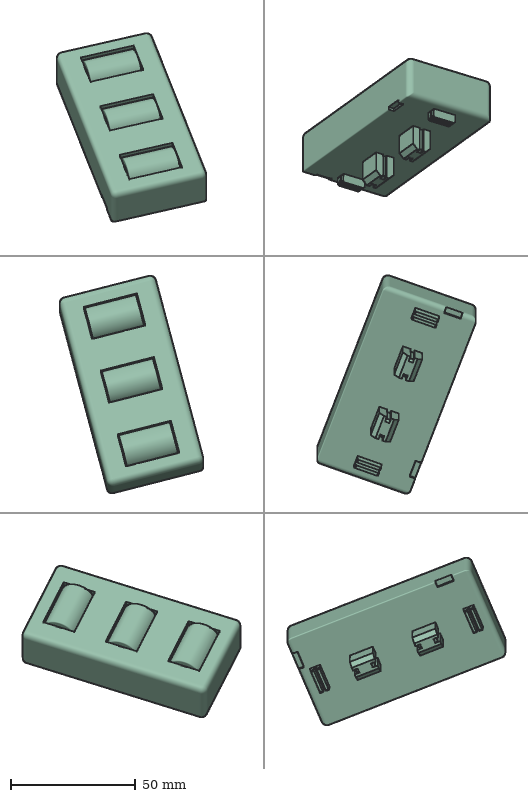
import cadquery as cq

LENGTH = 80.0
WIDTH = 40.0
HEIGHT = 18.0
EDGE_RADIUS = 2.5
END_BOTTOM_RADIUS = 2.0
BOTTOM_FILLET = 0.5

ROLLER_COUNT = 3
ROLLER_PITCH = 27.0
ROLLER_RADIUS = 7.5
ROLLER_LENGTH = 21.1
ROLLER_RISE = 2.0
ROLLER_AXIS_Z = HEIGHT + ROLLER_RISE - ROLLER_RADIUS
ROLLER_END_FILLET = 0.5
AXLE_RADIUS = 4.6
POCKET_LENGTH = 22.2
POCKET_WIDTH = 13.5
POCKET_DEPTH = 2.0

POST_OFFSET = 13.6
POST_DROP = 10.0
POST_LENGTH = 10.0
POST_WIDTH = 8.3
POST_CHAMFER = 2.0
POST_SLOT = 1.8
POST_CORE_RADIUS = 4.0
POST_CORE_CHAMFER = 1.0

BLADE_PAIR_OFFSET = 33.4
BLADE_PITCH = 2.5
BLADE_DROP = 3.5
BLADE_WIDTH = 10.2
BLADE_TOP_THICKNESS = 2.0
BLADE_TIP_THICKNESS = 1.3
BLADE_CHAMFER = 0.5

NOTCH_LENGTH = 7.0
NOTCH_HEIGHT = 1.2
NOTCH_DEPTH = 2.5
FRONT_NOTCH_X = 28.6
END_NOTCH_Y = -10.1

BASE_CENTERED = (True, True, False)


def make_housing():
    """Box rounded on its upright and top edges, with bigger rounds under the ends than the sides."""
    box = cq.Workplane("XY").box(LENGTH, WIDTH, HEIGHT, centered=BASE_CENTERED)
    box = box.edges("|Z or >Z").fillet(EDGE_RADIUS)
    end_profile = (
        cq.Workplane("XY")
        .box(LENGTH, WIDTH, HEIGHT, centered=BASE_CENTERED)
        .edges("|Y and <Z")
        .fillet(END_BOTTOM_RADIUS)
    )
    box = box.intersect(end_profile)
    return box.edges("|X and <Z").fillet(BOTTOM_FILLET)


def y_cylinder(radius, length, x):
    """Cylinder along Y on the roller axis, centred on the XZ plane."""
    return (
        cq.Workplane("XZ", origin=(x, length / 2, 0))
        .center(0, ROLLER_AXIS_Z)
        .circle(radius)
        .extrude(length)
    )


def make_pocket(x):
    """Rectangular recess in the top face that one roller lies in."""
    return cq.Workplane("XY", origin=(x, 0, HEIGHT - POCKET_DEPTH)).box(
        POCKET_WIDTH, POCKET_LENGTH, POCKET_DEPTH, centered=BASE_CENTERED
    )


def make_roller(x):
    """Roller with rounded rims, on an axle that reaches both pocket ends."""
    roller = y_cylinder(ROLLER_RADIUS, ROLLER_LENGTH, x).edges().fillet(ROLLER_END_FILLET)
    return roller.union(y_cylinder(AXLE_RADIUS, POCKET_LENGTH, x))


def make_post(x):
    """Snap post: a chamfered block slotted along X, with a chamfered round core in the slot."""
    base = cq.Workplane("XY", origin=(x, 0, -POST_DROP))
    block = base.box(POST_LENGTH, POST_WIDTH, POST_DROP, centered=BASE_CENTERED)
    block = block.edges("|X and <Z").chamfer(POST_CHAMFER)
    slot = base.box(POST_LENGTH, POST_SLOT, POST_DROP, centered=BASE_CENTERED)
    core = base.circle(POST_CORE_RADIUS).extrude(POST_DROP)
    core = core.faces("<Z").edges().chamfer(POST_CORE_CHAMFER)
    return block.cut(slot.cut(core))


def make_blade(x):
    """Blade that thins toward its tip, with chamfered bottom corners."""
    half_top = BLADE_TOP_THICKNESS / 2
    half_tip = BLADE_TIP_THICKNESS / 2
    blade = (
        cq.Workplane("XZ", origin=(x, BLADE_WIDTH / 2, 0))
        .polyline([(-half_top, 0), (half_top, 0), (half_tip, -BLADE_DROP), (-half_tip, -BLADE_DROP)])
        .close()
        .extrude(BLADE_WIDTH)
    )
    return blade.faces("<Z").edges("|X").chamfer(BLADE_CHAMFER)


def make_notch(x, y, size_x, size_y):
    """Cutter for a notch in a bottom edge, centred on that edge."""
    return cq.Workplane("XY", origin=(x, y, 0)).box(size_x, size_y, NOTCH_HEIGHT, centered=BASE_CENTERED)


result = make_housing()

for index in range(ROLLER_COUNT):
    roller_x = (index - (ROLLER_COUNT - 1) / 2) * ROLLER_PITCH
    result = result.cut(make_pocket(roller_x)).union(make_roller(roller_x))

for side in (-1, 1):
    result = result.union(make_post(side * POST_OFFSET))
    for blade_side in (-1, 1):
        blade_x = side * BLADE_PAIR_OFFSET + blade_side * BLADE_PITCH / 2
        result = result.union(make_blade(blade_x))

result = result.cut(make_notch(FRONT_NOTCH_X, -WIDTH / 2, NOTCH_LENGTH, 2 * NOTCH_DEPTH))
result = result.cut(make_notch(-LENGTH / 2, END_NOTCH_Y, 2 * NOTCH_DEPTH, NOTCH_LENGTH))